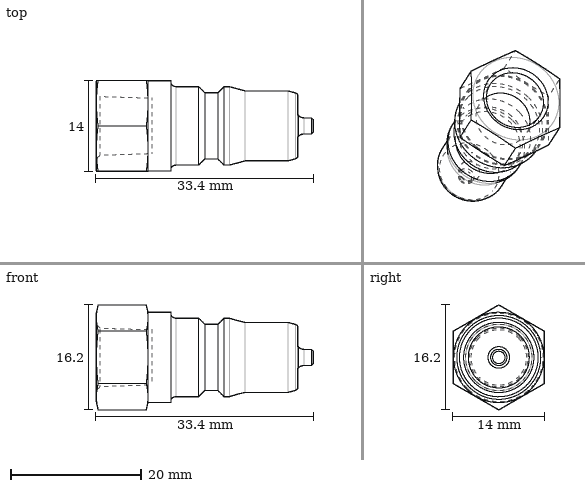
import cadquery as cq
import math


HEX_ACROSS_FLATS = 14.0
HEX_LENGTH = 8.0
HEX_FACE_DIAMETER = 13.6
HEX_CHAMFER_ANGLE = 13.0

SHOULDER_DIAMETER = 13.9
SHOULDER_END = 11.5

BODY_DIAMETER = 12.1
BODY_FILLET_RADIUS = 1.0
BODY_FILLET_LENGTH = 0.8
GROOVE_DIAMETER = 10.2
GROOVE_START = 16.7
GROOVE_END = 18.7
COLLAR_END = 20.45

NOSE_DIAMETER = 10.8
NOSE_TAPER_ANGLE = 15.0
LEAD_IN_START = 29.45
LEAD_IN_LENGTH = 1.15
NOSE_CORNER_RADIUS = 0.4
NOSE_END = 31.0

PIN_DIAMETER = 2.5
PIN_END = 33.37
PIN_CHAMFER = 0.3
PIN_FILLET_START = 31.05
PIN_FILLET_RADIUS = 1.2
PIN_FILLET_LENGTH = 0.9

PORT_MOUTH_DIAMETER = 10.2
PORT_DIAMETER = 9.01
PORT_TAPER = 1 / 16
PORT_TAPER_LENGTH = 8.0


def revolve_about_x(profile):
    """Close an (X, radius) profile and turn it around the X axis."""
    return profile.close().revolve(360, (0, 0, 0), (1, 0, 0))


def concave_fillet_rise(radius, length, distance):
    """Radial rise of a concave arc at a distance before its tangent end."""
    return radius - math.sqrt(radius**2 - (distance * length) ** 2)


def make_hexagon():
    """Hexagonal prism with corners along Z and both ends chamfered."""
    corner_diameter = HEX_ACROSS_FLATS / math.cos(math.radians(30))
    corner_radius = corner_diameter / 2
    face_radius = HEX_FACE_DIAMETER / 2
    chamfer_length = (corner_radius - face_radius) * math.tan(math.radians(HEX_CHAMFER_ANGLE))
    prism = (
        cq.Workplane("YZ")
        .polygon(6, corner_diameter)
        .extrude(HEX_LENGTH)
        .rotate((0, 0, 0), (1, 0, 0), 90)
    )
    envelope = revolve_about_x(
        cq.Workplane("XY")
        .lineTo(0, face_radius)
        .lineTo(chamfer_length, corner_radius)
        .lineTo(HEX_LENGTH - chamfer_length, corner_radius)
        .lineTo(HEX_LENGTH, face_radius)
        .lineTo(HEX_LENGTH, 0)
    )
    return prism.intersect(envelope)


def make_body():
    """Shoulder, grooved body and plug nose as one turned profile."""
    shoulder_radius = SHOULDER_DIAMETER / 2
    body_radius = BODY_DIAMETER / 2
    groove_radius = GROOVE_DIAMETER / 2
    nose_radius = NOSE_DIAMETER / 2
    groove_depth = body_radius - groove_radius
    taper = math.tan(math.radians(NOSE_TAPER_ANGLE))

    fillet_end = SHOULDER_END + BODY_FILLET_LENGTH
    fillet_start_radius = body_radius + concave_fillet_rise(BODY_FILLET_RADIUS, BODY_FILLET_LENGTH, 1)
    fillet_middle_radius = body_radius + concave_fillet_rise(BODY_FILLET_RADIUS, BODY_FILLET_LENGTH, 0.5)
    cone_end = COLLAR_END + (body_radius - nose_radius) / taper
    lead_in_end = LEAD_IN_START + LEAD_IN_LENGTH
    lead_in_radius = nose_radius - LEAD_IN_LENGTH * taper

    return revolve_about_x(
        cq.Workplane("XY")
        .moveTo(HEX_LENGTH, 0)
        .lineTo(HEX_LENGTH, shoulder_radius)
        .lineTo(SHOULDER_END, shoulder_radius)
        .lineTo(SHOULDER_END, fillet_start_radius)
        .threePointArc(
            (SHOULDER_END + BODY_FILLET_LENGTH / 2, fillet_middle_radius),
            (fillet_end, body_radius),
        )
        .lineTo(GROOVE_START - groove_depth, body_radius)
        .lineTo(GROOVE_START, groove_radius)
        .lineTo(GROOVE_END, groove_radius)
        .lineTo(GROOVE_END + groove_depth, body_radius)
        .lineTo(COLLAR_END, body_radius)
        .lineTo(cone_end, nose_radius)
        .lineTo(LEAD_IN_START, nose_radius)
        .lineTo(lead_in_end, lead_in_radius)
        .tangentArcPoint((NOSE_END, lead_in_radius - NOSE_CORNER_RADIUS), relative=False)
        .lineTo(NOSE_END, 0)
    )


def make_pin():
    """Valve pin with a flared root and a chamfered tip."""
    pin_radius = PIN_DIAMETER / 2
    root_radius = pin_radius + concave_fillet_rise(PIN_FILLET_RADIUS, PIN_FILLET_LENGTH, 1)
    middle_radius = pin_radius + concave_fillet_rise(PIN_FILLET_RADIUS, PIN_FILLET_LENGTH, 0.5)
    return revolve_about_x(
        cq.Workplane("XY")
        .moveTo(NOSE_END, 0)
        .lineTo(NOSE_END, root_radius)
        .lineTo(PIN_FILLET_START, root_radius)
        .threePointArc(
            (PIN_FILLET_START + PIN_FILLET_LENGTH / 2, middle_radius),
            (PIN_FILLET_START + PIN_FILLET_LENGTH, pin_radius),
        )
        .lineTo(PIN_END - PIN_CHAMFER, pin_radius)
        .lineTo(PIN_END, pin_radius - PIN_CHAMFER)
        .lineTo(PIN_END, 0)
    )


def make_port():
    """Blind tapered port with a 45 degree countersink at its mouth."""
    mouth_radius = PORT_MOUTH_DIAMETER / 2
    port_radius = PORT_DIAMETER / 2
    countersink_depth = mouth_radius - port_radius
    port_depth = countersink_depth + PORT_TAPER_LENGTH
    floor_radius = port_radius - PORT_TAPER_LENGTH * PORT_TAPER / 2
    return revolve_about_x(
        cq.Workplane("XY")
        .lineTo(0, mouth_radius)
        .lineTo(countersink_depth, port_radius)
        .lineTo(port_depth, floor_radius)
        .lineTo(port_depth, 0)
    )


result = make_hexagon().union(make_body()).union(make_pin()).cut(make_port())